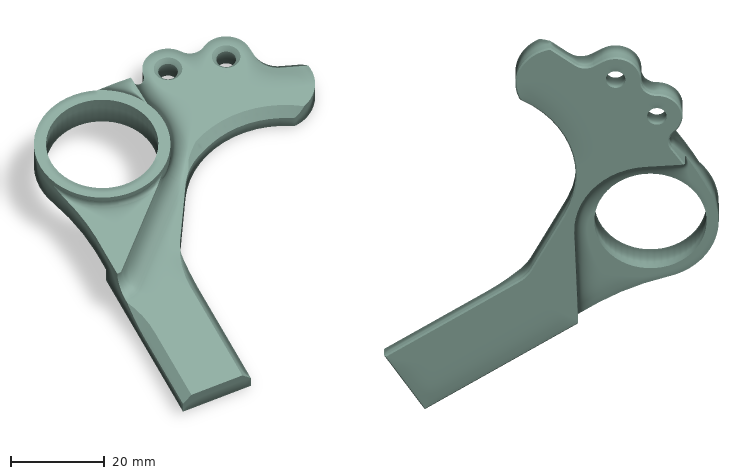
import cadquery as cq
import math

arm_height = 5.0
plateau_height = 9.2
ring_height = 11.5
pocket_height = 4.0
bevel = 2.0
base_chamfer = 0.3
clearance = 5.0
far = 90.0

ring_radius = 14.6
bore_radius = 12.0
collar_fillet = 0.9
cove_radius = plateau_height - arm_height

lug_radius = 5.5
lug_blend = 3.3
hole_diameter = 4.2
sink_diameter = 6.1
lower_hole = (-15.96, 24.34)
upper_hole = (-13.1, 36.87)

crown_center = (-2.0, 42.1)
crown_radius = 9.2
arm_corner = (-5.1, 50.8)
arm_side_angle = 68.0
arm_root_radius = 3.4
throat_center = (25.1, 31.0)
throat_radius = 21.4
throat_corner = 1.5
throat_bevel_start_angle = 140.0
throat_bevel_end_angle = 207.0
throat_bevel_bend = (7.3, 17.2)

tip_top = (65.15, 1.5)
tip_bottom = (64.6, -14.6)
leg_angle = -3.1
slope_angle = -32.2
slope_root_radius = 8.0
bevel_runout = 25.0
lower_runout_x = 45.9
lower_runout_sweep = 30.0
under_arc_start = -74.0
under_arc_mid = (12.3, -12.5)
under_arc_end_x = 20.0

wall_foot_angle = 184.3
wall_mid = (-14.95, 6.5)
wall_top = (-14.55, 15.8)

upper_cove_angle = 88.5
lower_cove_angle = 43.6
cove_corner_x = 30.5
cove_corner_radius = 0.6
web_radius = 14.3

pocket_radius = 16.3
pocket_left_angle = 116.5
pocket_right_angle = 28.4
pocket_fillet = 1.0
pocket_fillet_reach = 18.7


def polar(radius, degrees, center=(0, 0)):
    a = math.radians(degrees)
    return (center[0] + radius * math.cos(a), center[1] + radius * math.sin(a))


def along(point, degrees, distance):
    return polar(distance, degrees, point)


def y_on_line(point, degrees, x):
    return point[1] + math.tan(math.radians(degrees)) * (x - point[0])


def meet(p, p_deg, q, q_deg):
    """Crossing point of two lines, each given by a point and a direction."""
    tp = math.tan(math.radians(p_deg))
    tq = math.tan(math.radians(q_deg))
    x = (q[1] - p[1] + tp * p[0] - tq * q[0]) / (tp - tq)
    return (x, y_on_line(p, p_deg, x))


def toward(a, b, distance):
    """Point at a distance from a in the direction of b."""
    span = math.dist(a, b)
    return (a[0] + (b[0] - a[0]) * distance / span, a[1] + (b[1] - a[1]) * distance / span)


def circle_meet(a, a_radius, b, b_radius):
    """Crossing of two circles that lies to the left of the direction a to b."""
    span = math.dist(a, b)
    reach = (a_radius ** 2 - b_radius ** 2 + span ** 2) / (2 * span)
    offset = math.sqrt(a_radius ** 2 - reach ** 2)
    heading = math.degrees(math.atan2(b[1] - a[1], b[0] - a[0]))
    return along(toward(a, b, reach), heading + 90, offset)


def arc_middle(center, radius, start, end):
    """Point on the shorter arc half way between start and end."""
    return toward(center, ((start[0] + end[0]) / 2, (start[1] + end[1]) / 2), radius)


def corner_tangents(corner, back_deg, ahead_deg, radius):
    """Ends and middle of an arc rounding a corner; directions point away from it."""
    half = math.radians(abs((ahead_deg - back_deg + 180) % 360 - 180) / 2)
    start = along(corner, back_deg, radius / math.tan(half))
    end = along(corner, ahead_deg, radius / math.tan(half))
    chord_middle = ((start[0] + end[0]) / 2, (start[1] + end[1]) / 2)
    middle = toward(corner, chord_middle, radius / math.sin(half) - radius)
    return start, middle, end


throat_end = polar(throat_radius, slope_angle - 90, throat_center)
leg_root = meet(throat_end, slope_angle, tip_top, leg_angle)
lug_top = (upper_hole[0], upper_hole[1] + lug_radius)
arm_root = meet(arm_corner, arm_side_angle, lug_top, 0)


def outline():
    """Outline of the whole part; inside the ring it closes along a chord."""
    under_start = polar(ring_radius, under_arc_start)
    under_end = (under_arc_end_x, y_on_line(tip_bottom, leg_angle, under_arc_end_x))
    slope_end, slope_mid, leg_start = corner_tangents(
        leg_root, slope_angle + 180, leg_angle, slope_root_radius)

    throat_tip_center = circle_meet(
        crown_center, crown_radius - throat_corner, throat_center, throat_radius + throat_corner)
    throat_tip_start = toward(throat_center, throat_tip_center, throat_radius)
    throat_mid = arc_middle(throat_center, throat_radius, throat_end, throat_tip_start)
    throat_tip_end = toward(crown_center, throat_tip_center, crown_radius)
    throat_tip_mid = arc_middle(throat_tip_center, throat_corner, throat_tip_start, throat_tip_end)

    crown_end = (arm_corner[0], crown_center[1]
                 + math.sqrt(crown_radius ** 2 - (arm_corner[0] - crown_center[0]) ** 2))
    root_start, root_mid, root_end = corner_tangents(arm_root, arm_side_angle, 180, arm_root_radius)

    neck_center = circle_meet(
        lower_hole, lug_radius + lug_blend, upper_hole, lug_radius + lug_blend)
    neck_start = toward(upper_hole, neck_center, lug_radius)
    neck_end = toward(lower_hole, neck_center, lug_radius)
    foot_center = (wall_top[0] - lug_blend, wall_top[1])
    foot_start = toward(lower_hole, foot_center, lug_radius)

    return (
        cq.Workplane("XY").moveTo(*under_start)
        .threePointArc(under_arc_mid, under_end)
        .lineTo(*tip_bottom).lineTo(*tip_top).lineTo(*leg_start)
        .threePointArc(slope_mid, slope_end)
        .lineTo(*throat_end)
        .threePointArc(throat_mid, throat_tip_start)
        .threePointArc(throat_tip_mid, throat_tip_end)
        .threePointArc(arc_middle(crown_center, crown_radius, throat_tip_end, crown_end), crown_end)
        .lineTo(*root_start)
        .threePointArc(root_mid, root_end)
        .lineTo(*lug_top)
        .threePointArc(arc_middle(upper_hole, lug_radius, lug_top, neck_start), neck_start)
        .threePointArc(arc_middle(neck_center, lug_blend, neck_start, neck_end), neck_end)
        .threePointArc(arc_middle(lower_hole, lug_radius, neck_end, foot_start), foot_start)
        .threePointArc(arc_middle(foot_center, lug_blend, foot_start, wall_top), wall_top)
        .threePointArc(wall_mid, polar(ring_radius, wall_foot_angle))
        .close()
    )


def cove_cutter():
    """Clears everything above the arms and leaves a cove along the raised web."""
    r = web_radius + cove_radius
    top = ring_height + clearance
    turn_start = polar(r, upper_cove_angle)
    turn_end = polar(r, lower_cove_angle)
    start = along(turn_start, upper_cove_angle + 90, 3 * ring_radius)
    bend_line = polar(web_radius - cove_corner_radius, lower_cove_angle)
    corner = (cove_corner_x, y_on_line(bend_line, lower_cove_angle - 90, cove_corner_x))
    bend_radius = cove_radius + cove_corner_radius
    bend_start = along(corner, lower_cove_angle, bend_radius)
    bend_mid = along(corner, lower_cove_angle / 2, bend_radius)
    bend_end = along(corner, 0, bend_radius)
    end = (bend_end[0], bend_end[1] - 2 * clearance)

    def path(plane):
        return (
            plane.moveTo(*start).lineTo(*turn_start)
            .threePointArc(polar(r, (upper_cove_angle + lower_cove_angle) / 2), turn_end)
            .lineTo(*bend_start).threePointArc(bend_mid, bend_end).lineTo(*end)
        )

    above = (
        path(cq.Workplane("XY", origin=(0, 0, arm_height)))
        .lineTo(far, end[1]).lineTo(far, far).lineTo(start[0], far).close()
        .extrude(top - arm_height)
    )
    section = cq.Plane(
        origin=(start[0], start[1], plateau_height), xDir=(0, 0, 1),
        normal=(*polar(1, upper_cove_angle - 90), 0))
    cove = (
        cq.Workplane(section).circle(cove_radius)
        .sweep(path(cq.Workplane("XY", origin=(0, 0, plateau_height))))
    )
    return above.union(cove)


def bevel_cutter(profile):
    """Tapered cutter: the closed profile at arm height shrinks towards its lower end."""
    return profile.extrude(-bevel, taper=45)


def arm_plane():
    return cq.Workplane("XY", origin=(0, 0, arm_height))


def arm_side_bevel():
    edge = along(arm_corner, arm_side_angle - 90, bevel)
    root = meet(edge, arm_side_angle, lug_top, 0)
    start, middle, end = corner_tangents(root, arm_side_angle, 180, arm_root_radius + bevel)
    top = along(edge, arm_side_angle, clearance)
    return bevel_cutter(
        arm_plane().moveTo(*top).lineTo(*start).threePointArc(middle, end)
        .lineTo(end[0] - clearance, lug_top[1]).lineTo(end[0] - clearance, top[1]).close())


def leg_top_bevel():
    edge = along(tip_top, leg_angle - 90, bevel)
    root = meet(throat_end, slope_angle, edge, leg_angle)
    end, middle, start = corner_tangents(root, slope_angle + 180, leg_angle, bevel_runout)
    beyond_tip = along(edge, leg_angle, clearance)
    return bevel_cutter(
        arm_plane().moveTo(*beyond_tip).lineTo(*start).threePointArc(middle, end)
        .lineTo(end[0], end[1] + 2 * clearance).lineTo(beyond_tip[0], end[1] + 2 * clearance).close())


def leg_bottom_bevel():
    edge = along(tip_bottom, leg_angle + 90, bevel)
    beyond_tip = along(edge, leg_angle, clearance)
    start = (lower_runout_x, y_on_line(edge, leg_angle, lower_runout_x))
    center = along(start, leg_angle - 90, bevel_runout)
    middle = polar(bevel_runout, leg_angle + 90 + lower_runout_sweep / 2, center)
    end = polar(bevel_runout, leg_angle + 90 + lower_runout_sweep, center)
    return bevel_cutter(
        arm_plane().moveTo(*beyond_tip).lineTo(*start).threePointArc(middle, end)
        .lineTo(end[0], end[1] - clearance).lineTo(beyond_tip[0], end[1] - clearance).close())


def throat_bevel():
    radius = throat_radius + bevel
    start = polar(radius, throat_bevel_start_angle, throat_center)
    bevel_end = polar(radius, throat_bevel_end_angle, throat_center)
    return bevel_cutter(
        arm_plane().moveTo(*start)
        .threePointArc(arc_middle(throat_center, radius, start, bevel_end), bevel_end)
        .threePointArc(throat_bevel_bend, throat_end)
        .lineTo(throat_center[0], throat_end[1]).lineTo(throat_center[0], start[1]).close())


def pocket_cutter():
    """Recess below the ring, round at the back, with its ceiling blended near the ring."""
    left = polar(pocket_radius, pocket_left_angle)
    right = polar(pocket_radius, pocket_right_angle)
    reach = 3 * ring_radius
    left_far = along(left, pocket_left_angle + 90, reach)
    right_far = along(right, pocket_right_angle - 90, reach)
    middle = polar(pocket_radius, (pocket_left_angle + pocket_right_angle) / 2)
    plain = (
        cq.Workplane("XY").moveTo(*left_far).lineTo(*left)
        .threePointArc(middle, right).lineTo(*right_far)
        .lineTo(left_far[0], right_far[1]).close().extrude(pocket_height)
    )
    rounded = plain.faces(">Z").edges().fillet(pocket_fillet)
    inner = cq.Workplane("XY").circle(pocket_fillet_reach).extrude(pocket_height)
    return plain.cut(inner).union(rounded)


def web_cutter():
    """Lowers the body around the ring to the plateau, with a concave blend at the ring."""
    outer = ring_radius + collar_fillet
    blend_top = plateau_height + collar_fillet
    middle = polar(collar_fillet, 180 + 45, (outer, blend_top))
    top = ring_height + clearance
    return (
        cq.Workplane("XZ").moveTo(far, plateau_height).lineTo(outer, plateau_height)
        .threePointArc(middle, (ring_radius, blend_top)).lineTo(ring_radius, top)
        .lineTo(far, top).close()
        .revolve(360, (0, 0, 0), (0, 1, 0))
    )


def screw_holes():
    sink_depth = (sink_diameter - hole_diameter) / 2
    holes = cq.Workplane("XY").pushPoints([lower_hole, upper_hole]).circle(hole_diameter / 2)
    sinks = arm_plane().pushPoints([lower_hole, upper_hole]).circle(sink_diameter / 2)
    return holes.extrude(arm_height).union(sinks.extrude(-sink_depth, taper=45))


body = outline().extrude(ring_height).faces("<Z").edges().chamfer(base_chamfer)
body = body.cut(web_cutter()).cut(cove_cutter())
for bevel_body in (arm_side_bevel(), leg_top_bevel(), leg_bottom_bevel(), throat_bevel()):
    body = body.cut(bevel_body)
body = body.cut(pocket_cutter()).cut(screw_holes())

ring = cq.Workplane("XY", origin=(0, 0, pocket_height)).circle(ring_radius)
ring = ring.extrude(ring_height - pocket_height)
bore = cq.Workplane("XY").circle(bore_radius).extrude(ring_height)
result = body.union(ring).cut(bore)